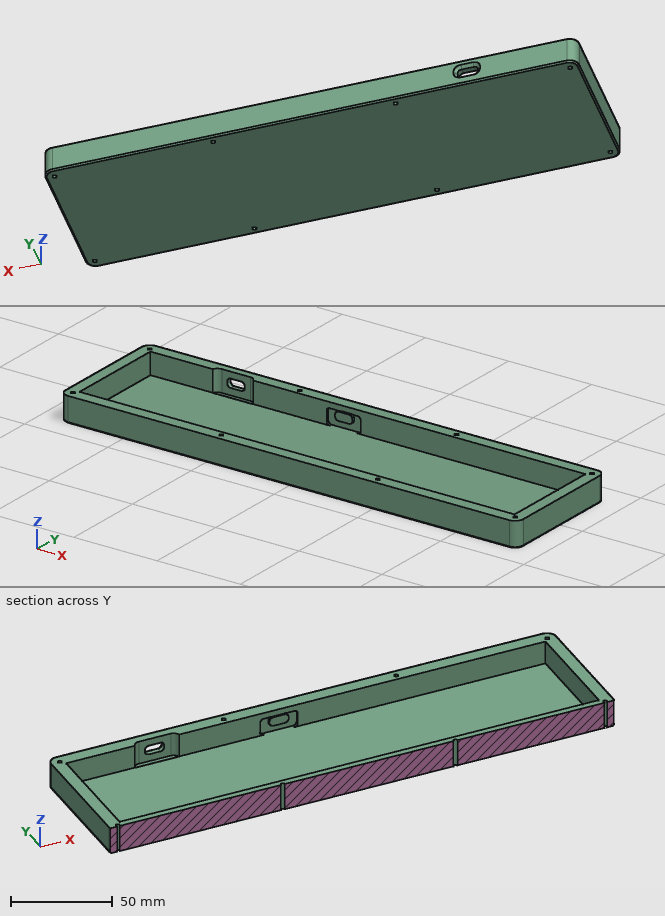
import cadquery as cq
import math

LENGTH = 275.2
WIDTH = 75.0
HEIGHT = 14.9
CORNER_RADIUS = 5.0
BOTTOM_CHAMFER = 0.8

CAVITY_LENGTH = 261.5
CAVITY_WIDTH = 60.5
FLOOR_THICKNESS = 2.2
REAR_WALL_Y = CAVITY_WIDTH / 2
REAR_WALL_THICKNESS = WIDTH / 2 - REAR_WALL_Y

SCREW_DIAMETER = 2.0
CORNER_SCREW_X = 133.0
CORNER_SCREW_Y = 32.7
MIDDLE_SCREW_XS = (-43.2, 51.0)
MIDDLE_SCREW_Y = 33.5

SLOT_LENGTH = 10.5
SLOT_HEIGHT = 5.0
SLOT_CORNER_RADIUS = 2.06
SLOT_Z = 8.5

CONNECTOR_X = -81.2
CONNECTOR_OUTER_CHAMFER = 1.7
CHAMFER_ANGLE = 45
CONNECTOR_RECESS_LENGTH = 24.2
CONNECTOR_RECESS_DEPTH = 2.61
CONNECTOR_RECESS_END_RADIUS = 3.5
CONNECTOR_RECESS_STEP = 0.15

PAD_X = -14.5
PAD_RECESS_LENGTH = 20.6
PAD_RECESS_HEIGHT = 9.4
PAD_RECESS_DEPTH = 1.5
PAD_RECESS_CORNER_RADIUS = 2.06


def tray():
    """Rounded block with a chamfered underside and a square-cornered cavity."""
    body = cq.Workplane("XY").box(LENGTH, WIDTH, HEIGHT, centered=(True, True, False))
    body = body.edges("|Z").fillet(CORNER_RADIUS)
    body = body.faces("<Z").edges().chamfer(BOTTOM_CHAMFER)
    cavity = (
        cq.Workplane("XY", origin=(0, 0, FLOOR_THICKNESS))
        .rect(CAVITY_LENGTH, CAVITY_WIDTH)
        .extrude(HEIGHT - FLOOR_THICKNESS)
    )
    return body.cut(cavity)


def rounded_bar(x, z, length, height, radius, depth):
    """Rounded rectangle in XZ, running from the inner rear wall towards +Y."""
    wall = cq.Plane(origin=(x, REAR_WALL_Y, z), xDir=(1, 0, 0), normal=(0, -1, 0))
    return cq.Workplane(wall).rect(length, height).extrude(-depth).edges("|Y").fillet(radius)


def screw_holes():
    points = []
    for side in (-1, 1):
        points += [(x, side * CORNER_SCREW_Y) for x in (-CORNER_SCREW_X, CORNER_SCREW_X)]
        points += [(x, side * MIDDLE_SCREW_Y) for x in MIDDLE_SCREW_XS]
    return cq.Workplane("XY").pushPoints(points).circle(SCREW_DIAMETER / 2).extrude(HEIGHT)


def connector_recess():
    """Pocket reaching just below the floor, whose ends curve into its back wall."""
    mouth_end = CONNECTOR_RECESS_LENGTH / 2
    radius = CONNECTOR_RECESS_END_RADIUS
    depth = CONNECTOR_RECESS_DEPTH
    back_end = mouth_end - math.sqrt(radius**2 - (radius - depth) ** 2)
    bottom = FLOOR_THICKNESS - CONNECTOR_RECESS_STEP
    return (
        cq.Workplane("XY", origin=(CONNECTOR_X, REAR_WALL_Y, bottom))
        .moveTo(-mouth_end, 0)
        .lineTo(mouth_end, 0)
        .radiusArc((back_end, depth), -radius)
        .lineTo(-back_end, depth)
        .radiusArc((-mouth_end, 0), -radius)
        .close()
        .extrude(HEIGHT - bottom)
    )


def rounded_slot(x, depth):
    return rounded_bar(x, SLOT_Z, SLOT_LENGTH, SLOT_HEIGHT, SLOT_CORNER_RADIUS, depth)


def connector_opening():
    """Slot through the rear wall that flares out to a chamfer at the outer face."""
    opening = rounded_slot(CONNECTOR_X, REAR_WALL_THICKNESS)
    outer_face = cq.Plane(origin=(CONNECTOR_X, WIDTH / 2, SLOT_Z), xDir=(1, 0, 0), normal=(0, -1, 0))
    flare_outline = (
        cq.Sketch()
        .rect(SLOT_LENGTH + 2 * CONNECTOR_OUTER_CHAMFER, SLOT_HEIGHT + 2 * CONNECTOR_OUTER_CHAMFER)
        .vertices()
        .fillet(SLOT_CORNER_RADIUS + CONNECTOR_OUTER_CHAMFER)
    )
    flare = (
        cq.Workplane(outer_face)
        .placeSketch(flare_outline)
        .extrude(CONNECTOR_OUTER_CHAMFER, taper=CHAMFER_ANGLE)
    )
    return opening.union(flare)


def pad_recess():
    return rounded_bar(
        PAD_X,
        FLOOR_THICKNESS + PAD_RECESS_HEIGHT / 2,
        PAD_RECESS_LENGTH,
        PAD_RECESS_HEIGHT,
        PAD_RECESS_CORNER_RADIUS,
        PAD_RECESS_DEPTH,
    )


def pad():
    """Rounded pad rising from the back of its recess, level with the wall."""
    return rounded_slot(PAD_X, PAD_RECESS_DEPTH)


result = (
    tray()
    .cut(screw_holes())
    .cut(connector_recess())
    .cut(connector_opening())
    .cut(pad_recess())
    .union(pad())
)